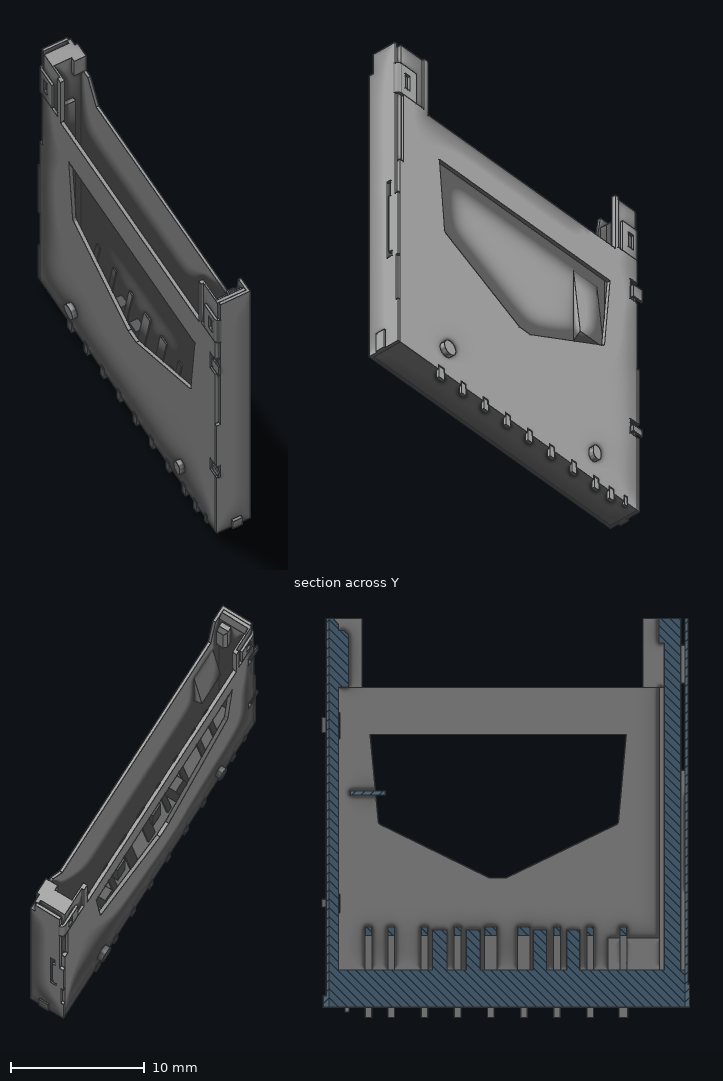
import cadquery as cq

WIDTH = 27.1
DEPTH = 2.9
BASE_Z = 0.78
TOP_Z = 29.9
SHEET = 0.25
INNER_LEFT = SHEET
INNER_RIGHT = WIDTH - SHEET
INNER_BACK = DEPTH - SHEET

MOUTH_Z = 25.8
LEFT_TOP_Z = 28.05
LEFT_SLANT_X = (2.85, 4.1)
RIGHT_SLANT_X = (25.03, 25.68)
CORNER_CUT_Y = 2.5

TAB_BOTTOM = 25.03
TAB_TOP = 27.9
LEFT_TAB_END = 2.05
RIGHT_TAB_START = 25.2
TAB_THICKNESS = 0.2
BEND_RADIUS = 0.4
TAB_WINDOW_Z = (25.8, 27.2)
LEFT_WINDOW_X = (0.8, 1.32)
RIGHT_WINDOW_X = (25.85, 26.43)

UPPER_EDGE_Y = 0.33
LEFT_UPPER_EDGE_Z = 15.25
RIGHT_UPPER_EDGE_Z = 14.53
LOWER_LEDGE_Y = 0.2
LOWER_LEDGE_Z = (4.9, 9.25)
SLIT_Y = (0.95, 1.15)
SLIT_Z = (9.87, 16.75)
SLIT_HEAD_Y = 0.75
SLIT_FOOT_Y = 0.63
SLIT_FOOT_Z = 9.4

BUMP_Y = (1.3, 2.1)
LEFT_BUMP_OUT = 0.12
LEFT_BUMP_TOP = 2.5
RIGHT_BUMP_OUT = 0.25
RIGHT_BUMP_TOP = 1.65

WEDGE_X = (22.65, 25.3)
WEDGE_TOP = 22.95
WEDGE_CREST_Z = 16.68
WEDGE_FOOT = 16.15
WEDGE_CREST_Y = 1.97

PLATE = 0.3
POST_FRONT = 0.35
LIP_Z = 24.73
LEFT_POST_X = 3.38
RIGHT_POST_X = 24.4
LEFT_RIB = 0.45
RIGHT_RIB = 0.33
POST_SIDE_X = 0.55
EDGE_SLOT_X = 0.63
EDGE_SLOT_BOTTOM = 18.55

WINDOW_TOP_Z = 21.2
WINDOW_TOP_X = (4.63, 23.8)
WINDOW_SHOULDER_Z = 14.53
WINDOW_SHOULDER_X = (5.23, 23.17)
WINDOW_POINT_Z = 10.46
WINDOW_POINT_X = (13.63, 14.85)
WINDOW_CORNER = 0.3

LEFT_RAIL_X = 1.8
CARD_LEFT_X = 2.15
CARD_STEP_Y = 2.0
RIGHT_WALL_X = 26.15
LEAD_IN_X = 26.58
LEAD_IN_Z = 29.42
FLOOR_Z = 3.6
LUG_X = (0.87, 2.18)
LUG_FRONT_Y = 1.85
BRIDGE_Z = 29.12
BRIDGE_Y = 2.33
GUIDE_X = 25.42
GUIDE_Y = (1.58, 2.4)
GUIDE_Z = (24.73, 29.0)
GUIDE_CHAMFER = 0.35
GUIDE_FRONT_CHAMFER = 0.25
STOP_X = 5.98
STOP_BACK_Y = 1.52
STOP_TOP_Z = 5.98

PEG_Z = 3.1
PEG_TIP_Y = -0.45
PEG_DIAMETER = 1.25
ROUND_PEG_X = 5.35
OBLONG_PEG_X = 21.85
OBLONG_PEG_WIDTH = 0.85

TAIL_PITCH = 2.48
FIRST_TAIL_X = 4.85
PITCHED_TAILS = 8
EXTRA_TAIL_X = 23.92
TAIL_WIDTH = 0.5
FIRST_TAIL_WIDTH = 0.65
WIDE_CONTACT_WIDTH = 0.93
WIDE_CONTACTS = (3, 4)
TAIL_FRONT_Y = -0.05
TAIL_BACK_Y = 0.18
TAIL_TOP_Z = 1.2
TAIL_BEVEL_Z = 1.05
CONTACT_ROOT_Y = 1.45
CONTACT_TIP_Y = 2.4
CONTACT_TIP_Z = 8.97
CONTACT_THICKNESS = 0.12
SHORT_TAIL_X = 25.53
SHORT_TAIL_WIDTH = 0.33
SHORT_TAIL_Z = (0.42, 1.32)

DIVIDERS = ((8.1, 9.1, 1.05, 0.33), (10.58, 11.6, 1.82, 0), (15.55, 16.62, 1.82, 0), (18.03, 19.15, 1.05, 0.33))
DIVIDER_TOP_Z = 6.58
DIVIDER_BACK_Y = 2.6

SIDE_TERMINALS = ((20.9, 22.8, 21.35, 22.48), (7.85, 9.25, 8.28, 8.88))
TERMINAL_RECESS_X = 26.07
TERMINAL_RECESS_DEPTH = 0.35
TERMINAL_X = 26.43
TERMINAL_TIP_X = 27.42
TERMINAL_THICKNESS = 0.12


def block(x, y, z):
    """Box given by its (low, high) limits along each axis."""
    size = (x[1] - x[0], y[1] - y[0], z[1] - z[0])
    return cq.Workplane("XY").box(*size, centered=False).translate((x[0], y[0], z[0]))


def front_sheet(points, y):
    """Flat plate with an XZ outline, filling the given Y limits."""
    sheet = cq.Workplane("XZ").polyline(points).close().extrude(y[0] - y[1])
    return sheet.translate((0, y[0], 0))


def side_sheet(points, x):
    """Flat plate with a YZ outline, filling the given X limits."""
    sheet = cq.Workplane("YZ").polyline(points).close().extrude(x[1] - x[0])
    return sheet.translate((x[0], 0, 0))


def back_plate():
    outline = [
        (0, BASE_Z),
        (WIDTH, BASE_Z),
        (WIDTH, TOP_Z),
        (RIGHT_SLANT_X[1], TOP_Z),
        (RIGHT_SLANT_X[0], MOUTH_Z),
        (LEFT_SLANT_X[1], MOUTH_Z),
        (LEFT_SLANT_X[0], LEFT_TOP_Z),
        (0, LEFT_TOP_Z),
    ]
    return front_sheet(outline, (INNER_BACK, DEPTH))


def left_wall():
    outline = [
        (0, BASE_Z),
        (0, LOWER_LEDGE_Z[0]),
        (LOWER_LEDGE_Y, LOWER_LEDGE_Z[0]),
        (LOWER_LEDGE_Y, LOWER_LEDGE_Z[1]),
        (0, LOWER_LEDGE_Z[1]),
        (0, LEFT_UPPER_EDGE_Z),
        (UPPER_EDGE_Y, LEFT_UPPER_EDGE_Z),
        (UPPER_EDGE_Y, TOP_Z),
        (CORNER_CUT_Y, TOP_Z),
        (CORNER_CUT_Y, LEFT_TOP_Z),
        (DEPTH, LEFT_TOP_Z),
        (DEPTH, BASE_Z),
    ]
    slit = [
        (SLIT_Y[1], SLIT_FOOT_Z),
        (SLIT_Y[1], SLIT_Z[1]),
        (SLIT_HEAD_Y, SLIT_Z[1]),
        (SLIT_HEAD_Y, LEFT_UPPER_EDGE_Z),
        (SLIT_Y[0], LEFT_UPPER_EDGE_Z),
        (SLIT_Y[0], SLIT_Z[0]),
        (SLIT_FOOT_Y, SLIT_Z[0]),
        (SLIT_FOOT_Y, SLIT_FOOT_Z),
    ]
    thickness = (0, SHEET)
    return side_sheet(outline, thickness).cut(side_sheet(slit, thickness))


def right_wall():
    wall = block((INNER_RIGHT, WIDTH), (0, DEPTH), (BASE_Z, TOP_Z))
    wall = wall.cut(block((INNER_RIGHT, WIDTH), (0, UPPER_EDGE_Y), (RIGHT_UPPER_EDGE_Z, TOP_Z)))
    for recess_bottom, recess_top, _, _ in SIDE_TERMINALS:
        notch = block((INNER_RIGHT, WIDTH), (0, TERMINAL_RECESS_DEPTH), (recess_bottom, recess_top))
        wall = wall.cut(notch)
    return wall


def folded_tab(x, window_x, wall_x):
    """Tab folded over a housing post, with its bend, its piece of wall and its window."""
    z = (TAB_BOTTOM, TAB_TOP)
    tab = block(x, (0, TAB_THICKNESS), z)
    tab = tab.union(block(wall_x, (0, UPPER_EDGE_Y), z))
    return tab.cut(block(window_x, (0, TAB_THICKNESS), TAB_WINDOW_Z))


def bend_corner(corner_x, inward):
    """Material removed from a square corner to round the outside of a tab bend."""
    corner_limits = sorted((corner_x, corner_x + inward * BEND_RADIUS))
    z = (TAB_BOTTOM, TAB_TOP)
    square = block(corner_limits, (0, BEND_RADIUS), z)
    roller = (
        cq.Workplane("XY", origin=(corner_x + inward * BEND_RADIUS, BEND_RADIUS, TAB_BOTTOM))
        .circle(BEND_RADIUS)
        .extrude(TAB_TOP - TAB_BOTTOM)
    )
    return square.cut(roller)


def card_wedge():
    outline = [
        (INNER_BACK, WEDGE_TOP),
        (WEDGE_CREST_Y, WEDGE_CREST_Z),
        (INNER_BACK, WEDGE_FOOT),
    ]
    return side_sheet(outline, WEDGE_X)


def make_shell():
    shell = back_plate().union(left_wall()).union(right_wall())
    shell = shell.union(folded_tab((0, LEFT_TAB_END), LEFT_WINDOW_X, (0, SHEET)))
    shell = shell.union(folded_tab((RIGHT_TAB_START, WIDTH), RIGHT_WINDOW_X, (INNER_RIGHT, WIDTH)))
    shell = shell.cut(bend_corner(0, 1)).cut(bend_corner(WIDTH, -1))
    shell = shell.union(block((-LEFT_BUMP_OUT, 0), BUMP_Y, (BASE_Z, LEFT_BUMP_TOP)))
    shell = shell.union(block((WIDTH, WIDTH + RIGHT_BUMP_OUT), BUMP_Y, (BASE_Z, RIGHT_BUMP_TOP)))
    return shell.union(card_wedge())


def front_plate():
    outline = [
        (INNER_LEFT, BASE_Z),
        (INNER_RIGHT, BASE_Z),
        (INNER_RIGHT, TOP_Z),
        (RIGHT_POST_X, TOP_Z),
        (RIGHT_POST_X, LIP_Z),
        (LEFT_POST_X, LIP_Z),
        (LEFT_POST_X, TOP_Z),
        (POST_SIDE_X, TOP_Z),
        (POST_SIDE_X, TAB_BOTTOM),
        (EDGE_SLOT_X, TAB_BOTTOM),
        (EDGE_SLOT_X, EDGE_SLOT_BOTTOM),
        (INNER_LEFT, EDGE_SLOT_BOTTOM),
    ]
    return front_sheet(outline, (0, PLATE))


def plate_window():
    outline = [
        (WINDOW_TOP_X[0], WINDOW_TOP_Z),
        (WINDOW_TOP_X[1], WINDOW_TOP_Z),
        (WINDOW_SHOULDER_X[1], WINDOW_SHOULDER_Z),
        (WINDOW_POINT_X[1], WINDOW_POINT_Z),
        (WINDOW_POINT_X[0], WINDOW_POINT_Z),
        (WINDOW_SHOULDER_X[0], WINDOW_SHOULDER_Z),
    ]
    window = front_sheet(outline, (0, PLATE))
    shoulders = cq.selectors.BoxSelector(
        (0, -PLATE, WINDOW_POINT_Z + WINDOW_CORNER), (WIDTH, 2 * PLATE, WINDOW_TOP_Z - WINDOW_CORNER)
    )
    return window.edges("|Y").edges(shoulders).fillet(WINDOW_CORNER)


def tab_recesses():
    z = (TAB_BOTTOM, TOP_Z)
    y = (0, TAB_THICKNESS)
    left = block((INNER_LEFT, LEFT_POST_X - LEFT_RIB), y, z)
    return left.union(block((RIGHT_POST_X + RIGHT_RIB, INNER_RIGHT), y, z))


def right_wall_inside():
    """Housing wall beside the card, with a sloped lead-in at the mouth."""
    wall = cq.Workplane("XZ").polyline([
        (RIGHT_WALL_X, BASE_Z),
        (INNER_RIGHT, BASE_Z),
        (INNER_RIGHT, TOP_Z),
        (LEAD_IN_X, TOP_Z),
        (RIGHT_WALL_X, LEAD_IN_Z),
    ])
    return wall.close().extrude(-INNER_BACK)


def guide():
    """Raised rib at the mouth on the right wall, with its free edges bevelled."""
    rib = block((GUIDE_X, INNER_RIGHT), GUIDE_Y, GUIDE_Z)
    rib = rib.edges("<X and <Y").chamfer(GUIDE_FRONT_CHAMFER)
    return rib.edges("<X and >Z").chamfer(GUIDE_CHAMFER)


def post_fronts():
    y = (TAB_THICKNESS, POST_FRONT)
    z = (LIP_Z, TOP_Z)
    return block((POST_SIDE_X, LEFT_POST_X), y, z).union(block((RIGHT_POST_X, INNER_RIGHT), y, z))


def card_frame():
    """Left rail, floor, card stop and the small blocks at the left post."""
    frame = block((POST_SIDE_X, LEFT_RAIL_X), (TAB_THICKNESS, INNER_BACK), (BASE_Z, TOP_Z))
    frame = frame.union(block((LEFT_RAIL_X, CARD_LEFT_X), (TAB_THICKNESS, CARD_STEP_Y), (BASE_Z, LIP_Z)))
    frame = frame.union(block((INNER_LEFT, INNER_RIGHT), (PLATE, INNER_BACK), (BASE_Z, FLOOR_Z)))
    frame = frame.union(block((LEFT_RAIL_X, STOP_X), (PLATE, STOP_BACK_Y), (BASE_Z, STOP_TOP_Z)))
    frame = frame.union(block(LUG_X, (LUG_FRONT_Y, DEPTH), (LEFT_TOP_Z, TOP_Z)))
    return frame.union(block((INNER_LEFT, POST_SIDE_X), (BRIDGE_Y, INNER_BACK), (BRIDGE_Z, TOP_Z)))


def pegs():
    plane = cq.Workplane("XZ", origin=(0, PLATE, 0))
    length = PLATE - PEG_TIP_Y
    round_peg = plane.center(ROUND_PEG_X, PEG_Z).circle(PEG_DIAMETER / 2).extrude(length)
    oblong_peg = plane.center(OBLONG_PEG_X, PEG_Z).slot2D(PEG_DIAMETER, OBLONG_PEG_WIDTH, 90).extrude(length)
    return round_peg.union(oblong_peg)


def solder_tail(x, width):
    outline = [
        (TAIL_BACK_Y, 0),
        (TAIL_FRONT_Y, 0),
        (TAIL_FRONT_Y, TAIL_BEVEL_Z),
        (0, TAIL_TOP_Z),
        (TAIL_BACK_Y, TAIL_TOP_Z),
    ]
    return side_sheet(outline, (x - width / 2, x + width / 2))


def contact_spring(x, width):
    outline = [
        (CONTACT_ROOT_Y, FLOOR_Z),
        (CONTACT_ROOT_Y + CONTACT_THICKNESS, FLOOR_Z),
        (CONTACT_TIP_Y + CONTACT_THICKNESS, CONTACT_TIP_Z),
        (CONTACT_TIP_Y, CONTACT_TIP_Z),
    ]
    return side_sheet(outline, (x - width / 2, x + width / 2))


def contacts():
    places = [FIRST_TAIL_X + i * TAIL_PITCH for i in range(PITCHED_TAILS)] + [EXTRA_TAIL_X]
    row = block(
        (SHORT_TAIL_X - SHORT_TAIL_WIDTH / 2, SHORT_TAIL_X + SHORT_TAIL_WIDTH / 2),
        (TAIL_FRONT_Y, TAIL_BACK_Y),
        SHORT_TAIL_Z,
    )
    for i, x in enumerate(places):
        tail_width = FIRST_TAIL_WIDTH if i == 0 else TAIL_WIDTH
        spring_width = WIDE_CONTACT_WIDTH if i in WIDE_CONTACTS else TAIL_WIDTH
        row = row.union(solder_tail(x, tail_width))
        row = row.union(contact_spring(x, spring_width))
    return row


def divider(x, front, bevel):
    post = block(x, (front, DIVIDER_BACK_Y), (FLOOR_Z, DIVIDER_TOP_Z))
    return post.edges("<Y and >Z").chamfer(bevel) if bevel else post


def side_terminal(bottom, top):
    z = (bottom, top)
    foot = block((TERMINAL_X, TERMINAL_TIP_X), (0, TERMINAL_THICKNESS), z)
    leg = block((TERMINAL_X, TERMINAL_X + TERMINAL_THICKNESS), (0, TERMINAL_RECESS_DEPTH), z)
    return foot.union(leg)


def make_housing():
    housing = front_plate().cut(plate_window())
    for part in (card_frame(), right_wall_inside(), guide(), post_fronts()):
        housing = housing.union(part)
    housing = housing.cut(tab_recesses())
    for left, right, front, bevel in DIVIDERS:
        housing = housing.union(divider((left, right), front, bevel))
    for recess_bottom, recess_top, bottom, top in SIDE_TERMINALS:
        recess = block(
            (TERMINAL_RECESS_X, INNER_RIGHT), (0, TERMINAL_RECESS_DEPTH), (recess_bottom, recess_top)
        )
        housing = housing.cut(recess).union(side_terminal(bottom, top))
    return housing.union(pegs()).union(contacts())


shell = make_shell()
housing = make_housing()

result = cq.Compound.makeCompound([shell.solids().val(), housing.solids().val()])